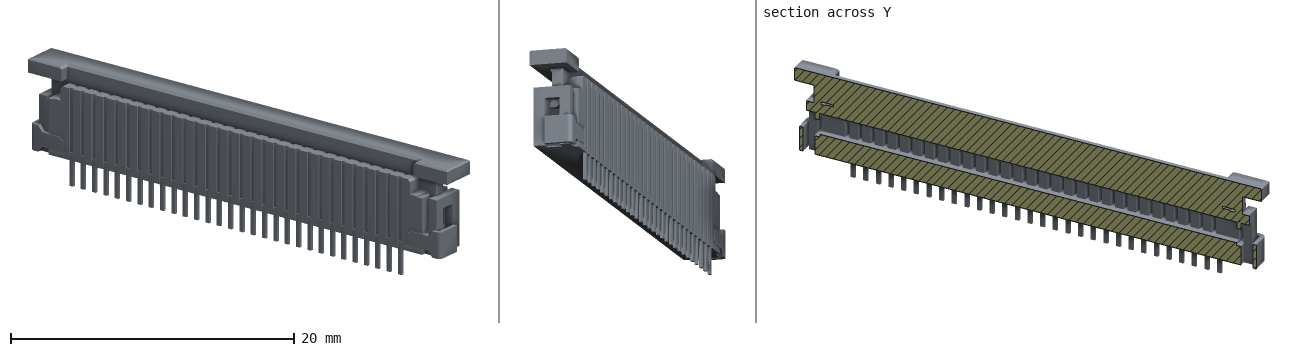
import cadquery as cq
import math


depth = 3.0

core_half_length = 16.5
end_wall_inner = 16.87
end_wall_outer = 17.55
end_wall_front = 0.315
housing_height = 4.25
slit_floor = 1.55

deck_half_length = 16.05
deck_top = 4.33
channel_back = 2.2

front_wall_half_length = 15.43
front_wall_thickness = 1.0
front_wall_top = 5.45
front_wall_chamfer = 0.2

cavity_front = 1.07
cavity_back = 2.2
cavity_floor = 1.78
cavity_top = 3.45

contact_count = 30
contact_row_length = 29.0
contact_pitch = contact_row_length / (contact_count - 1)
contact_width = 0.35
tail_front = 0.05
tail_back = 0.24
tail_top = 0.55
tail_bottom = -1.95
front_groove_depth = 0.13
rear_groove_front = 0.63

slider_half_length = 18.5
slider_bottom = 5.65
slider_top = 6.75
slider_front = 0.25
slider_edge_chamfer = 0.092
recess_half_length = 15.55
recess_chamfer = 0.2
blade_half_length = 17.0
blade_back = 1.8
blade_root_back = 1.92
blade_root_bottom = 5.48
blade_gap_end = 16.35
blade_gap_top = 4.45

leg_bottom = 2.9
leg_toe_front = 1.55
leg_ramp_top = 3.33
hook_back = 2.0
hook_top = 3.2
hook_ramp_top = 3.48

clip_outer = 18.1
clip_thickness = end_wall_front
clip_top = 2.0
clip_back = 2.0
clip_bend_radius = 0.35
clip_taper_start = 17.4
clip_arm_start = 17.02
clip_arm_bottom = 0.45
clip_arm_top = slit_floor
clip_tip_step = 15.55
clip_tip_step_height = 0.15
clip_tip = 15.2

pocket_end = 14.87
pocket_bottom = 0.22
pocket_top = 1.9
pocket_bevel = 0.3
pocket_depth = 0.055


def box(x_range, y_range, z_range):
    """Box between pairs of coordinates."""
    low, high = zip(x_range, y_range, z_range)
    size = [b - a for a, b in zip(low, high)]
    return cq.Workplane("XY").box(*size, centered=False).translate(low)


def centred_box(half_length, y_range, z_range):
    """Box that reaches equally far to -X and +X."""
    return box((-half_length, half_length), y_range, z_range)


def both_ends(left):
    """The left-hand shape together with its mirror image at the right."""
    return left.union(left.mirror("YZ"))


def contact_row(y_range, z_range):
    """One upright bar at every contact position."""
    bar_depth = y_range[1] - y_range[0]
    return (
        cq.Workplane("XY", origin=(0, (y_range[0] + y_range[1]) / 2, z_range[0]))
        .rarray(contact_pitch, 0.37, contact_count, 1)
        .rect(contact_width, bar_depth)
        .extrude(z_range[1] - z_range[0])
    )


def make_pocket():
    """Left clip pocket: a bevelled recess open towards the end of the housing."""
    height = pocket_top - pocket_bottom
    start = -end_wall_outer
    length = -pocket_end - start
    return (
        cq.Workplane("XZ", origin=(start, 0, (pocket_bottom + pocket_top) / 2))
        .rect(2 * length, height)
        .extrude(-pocket_depth, taper=math.degrees(math.atan(pocket_bevel / pocket_depth)))
    )


def make_housing():
    core = centred_box(core_half_length, (0, depth), (0, housing_height))
    ends = centred_box(end_wall_outer, (end_wall_front, depth), (0, housing_height))
    front_wall = (
        centred_box(front_wall_half_length, (0, front_wall_thickness), (0, front_wall_top))
        .faces(">Z")
        .edges(">Y or <X or >X")
        .chamfer(front_wall_chamfer)
    )
    deck = centred_box(deck_half_length, (0, depth), (housing_height, deck_top))
    channel = centred_box(deck_half_length, (blade_back, channel_back), (housing_height, deck_top))
    cavity = centred_box(end_wall_outer, (cavity_front, cavity_back), (cavity_floor, cavity_top))
    slit = box((-end_wall_inner, -core_half_length), (0, depth), (slit_floor, housing_height))
    clip_slot = box((-end_wall_outer, -end_wall_inner), (cavity_front, cavity_back), (0, cavity_floor))
    front_grooves = contact_row((0, front_groove_depth), (0, front_wall_top))
    rear_grooves = contact_row((rear_groove_front, cavity_front), (cavity_floor, front_wall_top))
    return (
        core.union(ends)
        .union(front_wall)
        .union(deck.cut(channel))
        .cut(cavity)
        .cut(both_ends(slit.union(clip_slot).union(make_pocket())))
        .cut(front_grooves)
        .cut(rear_grooves)
    )


def make_slider():
    bar = (
        centred_box(slider_half_length, (slider_front, depth), (slider_bottom, slider_top))
        .faces(">Z")
        .edges()
        .chamfer(slider_edge_chamfer)
    )
    recess = centred_box(recess_half_length, (0, front_wall_thickness), (slider_bottom, slider_top))
    rim = (
        cq.Workplane("XY", origin=(0, 0, slider_top))
        .rect(2 * (recess_half_length + recess_chamfer), 2 * (front_wall_thickness + recess_chamfer))
        .workplane(offset=-recess_chamfer)
        .rect(2 * recess_half_length, 2 * front_wall_thickness)
        .loft(ruled=True)
    )
    blade = centred_box(
        blade_half_length, (front_wall_thickness, blade_back), (housing_height, slider_bottom)
    )
    root = centred_box(
        blade_half_length, (front_wall_thickness, blade_root_back), (blade_root_bottom, slider_bottom)
    )
    gap = box((-blade_gap_end, -front_wall_half_length), (0, depth), (housing_height, blade_gap_top))
    return bar.cut(recess).cut(rim).union(blade).union(root).cut(both_ends(gap))


def make_leg():
    """Left latch leg in the slit, hooked backwards at its foot."""
    profile = [
        (front_wall_thickness, blade_gap_top),
        (front_wall_thickness, leg_ramp_top),
        (leg_toe_front, leg_bottom),
        (hook_back, leg_bottom),
        (hook_back, hook_top),
        (blade_back, hook_ramp_top),
        (blade_back, blade_gap_top),
    ]
    return (
        cq.Workplane("YZ", origin=(-end_wall_inner, 0, 0))
        .polyline(profile)
        .close()
        .extrude(end_wall_inner - core_half_length)
    )


def make_clip():
    """Left hold-down clip: an end plate bent round into an arm on the front."""
    end_plate = box((-clip_outer, clip_thickness - clip_outer), (0, clip_back), (0, clip_top))
    tip_bottom = clip_arm_bottom + clip_tip_step_height
    tip_top = clip_arm_top - clip_tip_step_height
    arm_outline = [
        (-clip_outer, 0),
        (-clip_taper_start, 0),
        (-clip_arm_start, clip_arm_bottom),
        (-clip_tip_step, clip_arm_bottom),
        (-clip_tip_step, tip_bottom),
        (-clip_tip, tip_bottom),
        (-clip_tip, tip_top),
        (-clip_tip_step, tip_top),
        (-clip_tip_step, clip_arm_top),
        (-clip_arm_start, clip_arm_top),
        (-clip_taper_start, clip_top),
        (-clip_outer, clip_top),
    ]
    arm = cq.Workplane("XZ").polyline(arm_outline).close().extrude(-clip_thickness)
    return end_plate.union(arm).edges("|Z and <X and <Y").fillet(clip_bend_radius)


tails = contact_row((tail_front, tail_back), (tail_bottom, tail_top))
result = (
    make_housing()
    .union(make_slider())
    .union(both_ends(make_leg().union(make_clip())))
    .union(tails)
)